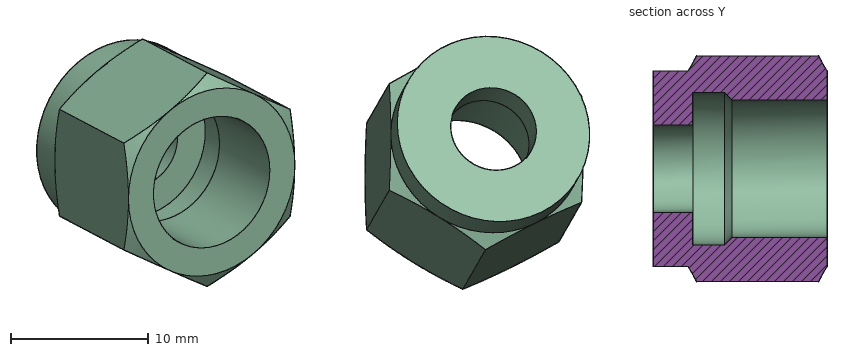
import cadquery as cq
import math

across_corners = 16.5
total_length = 12.7
collar_length = 2.52
hole_diameter = 6.35
hole_depth = 2.89
relief_diameter = 11.1
relief_end = 5.2
bore_diameter = 10.0
cone_angle = 45.0
chamfer_angle = 30.0

across_flats = across_corners * math.cos(math.radians(30))
corner_radius = across_corners / 2
collar_radius = across_flats / 2
chamfer_length = (corner_radius - collar_radius) * math.tan(math.radians(chamfer_angle))
cone_length = (relief_diameter - bore_diameter) / 2 / math.tan(math.radians(cone_angle))


def revolve_about_x(profile):
    return cq.Workplane("XY").polyline(profile).close().revolve(360, (0, 0, 0), (1, 0, 0))


def hexagon_body():
    """Hexagonal prism with two corners on the Z axis."""
    return (
        cq.Workplane("YZ", origin=(collar_length, 0, 0))
        .transformed(rotate=(0, 0, 90))
        .polygon(6, across_corners)
        .extrude(total_length - collar_length)
    )


def chamfer_envelope():
    """Revolved blank whose conical ends chamfer the hexagon corners."""
    profile = [
        (collar_length, 0),
        (collar_length, collar_radius),
        (collar_length + chamfer_length, corner_radius),
        (total_length - chamfer_length, corner_radius),
        (total_length, collar_radius),
        (total_length, 0),
    ]
    return revolve_about_x(profile)


def inner_cavity():
    """Tube hole, wide relief, narrowing cone and bore open at the hexagon end."""
    cone_end = relief_end + cone_length
    profile = [
        (0, 0),
        (0, hole_diameter / 2),
        (hole_depth, hole_diameter / 2),
        (hole_depth, relief_diameter / 2),
        (relief_end, relief_diameter / 2),
        (cone_end, bore_diameter / 2),
        (total_length, bore_diameter / 2),
        (total_length, 0),
    ]
    return revolve_about_x(profile)


collar = cq.Workplane("YZ").circle(collar_radius).extrude(collar_length)

result = hexagon_body().intersect(chamfer_envelope()).union(collar).cut(inner_cavity())